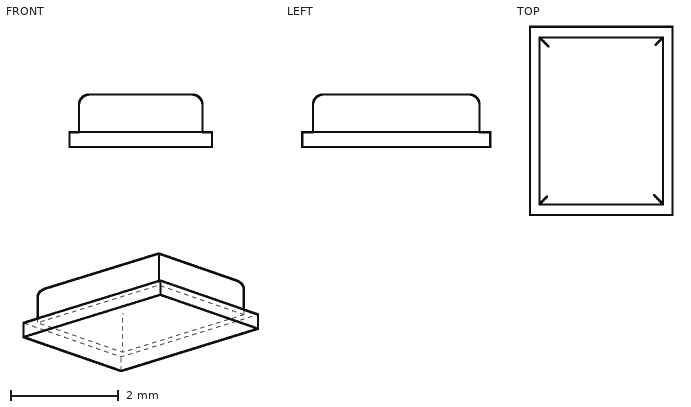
import cadquery as cq

base_width = 2.65
base_length = 3.5
base_thickness = 0.28

total_height = 0.98
lid_width = 2.3
lid_length = 3.1
lid_edge_radius = 0.2
lid_height = total_height - base_thickness

base = cq.Workplane("XY").box(base_width, base_length, base_thickness, centered=(True, True, False))

lid = (
    cq.Workplane("XY")
    .workplane(offset=base_thickness)
    .box(lid_width, lid_length, lid_height, centered=(True, True, False))
    .faces(">Z")
    .edges()
    .fillet(lid_edge_radius)
)

result = base.union(lid)